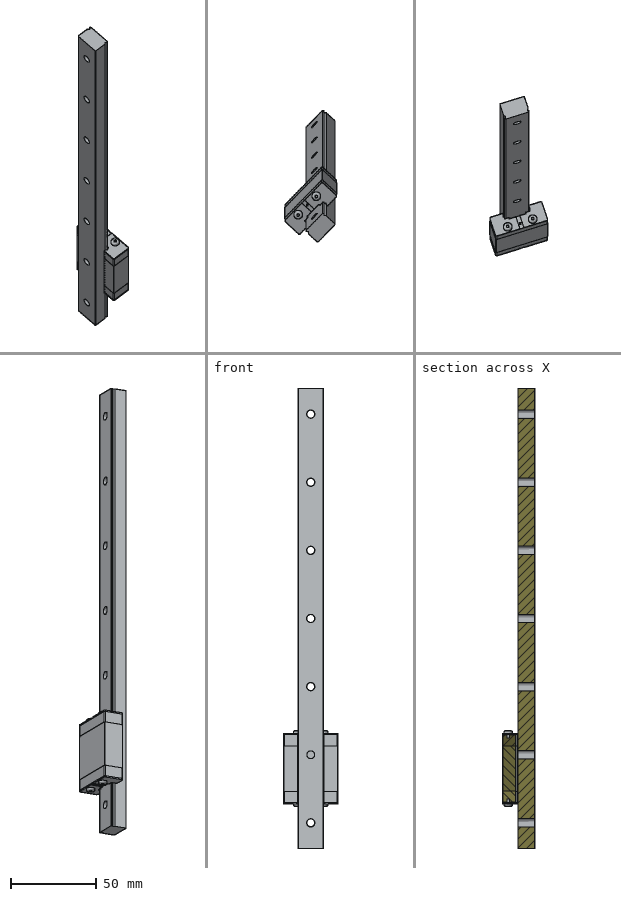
import cadquery as cq


rail_length = 270.0
rail_width = 15.0
rail_height = 10.0
rail_chamfer = 0.5
foot_chamfer = 0.3
groove_depth = 0.8
groove_rise = 0.95
groove_fall = 1.0
groove_drop = 1.48
hole_count = 7
hole_pitch = 40.0
hole_diameter = 4.5

carriage_width = 32.0
carriage_height = 12.2
carriage_top = 19.0
carriage_length = 41.3
carriage_middle = 47.0
block_length = 26.7
seal_thickness = 0.8
running_gap = 0.3
raceway_depth = 0.5
relief_width = 10.3
relief_depth = 0.8
block_chamfer = 0.3
cap_chamfer = 0.5
slot_width = 2.5
slot_depth = 0.4
oil_hole_diameter = 1.0
oil_hole_depth = 2.7

screw_spacing = 15.5
screw_drop = 3.2
head_diameter = 5.0
head_height = 1.5
head_round = 1.22
socket_width = 1.5
socket_depth = 0.8
shank_diameter = 2.2
thread_depth = 4.0

carriage_bottom = carriage_top - carriage_height
block_end = block_length / 2
seal_outside = carriage_length / 2
seal_inside = seal_outside - seal_thickness
cap_length = seal_inside - block_end
screw_x = screw_spacing / 2
screw_y = carriage_top - screw_drop
groove_y = rail_height - groove_drop


def mirrored_outline(right_half):
    """Closed XY outline from the points of its right half, listed from the bottom middle to the top middle."""
    left_half = [(-x, y) for x, y in reversed(right_half)]
    return cq.Workplane("XY").polyline(right_half + left_half).close()


def slab(outline, start, length):
    """Extrude a closed XY outline along +Z, with heights measured from the carriage middle."""
    return outline.extrude(length).translate((0, 0, carriage_middle + start))


def both_ends(upper):
    """A body at the carriage's upper end and its mirror image at the lower end."""
    return [upper, upper.mirror("XY", (0, 0, carriage_middle))]



def make_rail():
    half = rail_width / 2
    rail = mirrored_outline([
        (half - foot_chamfer, 0),
        (half, foot_chamfer),
        (half, groove_y - groove_fall),
        (half - groove_depth, groove_y),
        (half, groove_y + groove_rise),
        (half - rail_chamfer, rail_height),
    ]).extrude(rail_length)
    first_hole = (rail_length - (hole_count - 1) * hole_pitch) / 2
    holes = (
        cq.Workplane("XZ")
        .pushPoints([(0, first_hole + i * hole_pitch) for i in range(hole_count)])
        .circle(hole_diameter / 2)
        .extrude(-rail_height)
    )
    return rail.cut(holes)



def saddle(start, length):
    """Carriage section with an opening that follows the rail."""
    wall = rail_width / 2 + running_gap
    ceiling = rail_height + running_gap
    relief = relief_width / 2
    outline = cq.Workplane("XY").rect(carriage_width, carriage_height)
    outer = slab(outline, start, length).translate((0, carriage_top - carriage_height / 2, 0))
    opening = mirrored_outline([
        (wall, carriage_bottom),
        (wall, groove_y - groove_fall),
        (wall + raceway_depth, groove_y),
        (wall, groove_y + groove_rise),
        (wall, ceiling),
        (relief, ceiling),
        (relief, ceiling + relief_depth),
    ])
    return outer.cut(slab(opening, start, length))


def cut_screw_holes(body, start, length):
    circles = cq.Workplane("XY").pushPoints([(-screw_x, screw_y), (screw_x, screw_y)])
    return body.cut(slab(circles.circle(shank_diameter / 2), start, length))


def chamfer_corners(body, size):
    """Chamfer the four outer corners that run along Z."""
    outer_faces = body.faces("<X or >X")
    return outer_faces.edges("|Z").chamfer(size)


def make_block():
    block = chamfer_corners(saddle(-block_end, block_length), block_chamfer)
    for start in (-block_end, block_end - thread_depth):
        block = cut_screw_holes(block, start, thread_depth)
    return block


def cut_oil_hole(body):
    circle = cq.Workplane("XY").center(0, screw_y).circle(oil_hole_diameter / 2)
    return body.cut(slab(circle, seal_outside - oil_hole_depth, oil_hole_depth))


def make_upper_cap():
    cap = chamfer_corners(saddle(block_end, cap_length), cap_chamfer)
    return cut_oil_hole(cut_screw_holes(cap, block_end, cap_length))


def make_upper_seal():
    seal = chamfer_corners(saddle(seal_inside, seal_thickness), cap_chamfer)
    slot = cq.Workplane("XY").rect(slot_width, 2 * carriage_top)
    seal = seal.cut(slab(slot, seal_outside - slot_depth, slot_depth))
    return cut_oil_hole(cut_screw_holes(seal, seal_inside, seal_thickness))



def make_upper_screw(x):
    head = cq.Workplane("XY").circle(head_diameter / 2).extrude(head_height)
    head = head.faces(">Z").edges().fillet(head_round)
    shank = cq.Workplane("XY").circle(shank_diameter / 2)
    shank = shank.extrude(-(seal_thickness + cap_length + thread_depth))
    socket = cq.Workplane("XY").workplane(offset=head_height - socket_depth)
    socket = socket.polygon(6, socket_width).extrude(socket_depth)
    screw = head.union(shank).cut(socket)
    return screw.translate((x, screw_y, carriage_middle + seal_outside))


rail = make_rail()
block = make_block()
caps = both_ends(make_upper_cap())
seals = both_ends(make_upper_seal())
screws = []
for x in (-screw_x, screw_x):
    screws += both_ends(make_upper_screw(x))

bodies = [rail, block, *caps, *seals, *screws]
result = cq.Compound.makeCompound([body.val() for body in bodies])